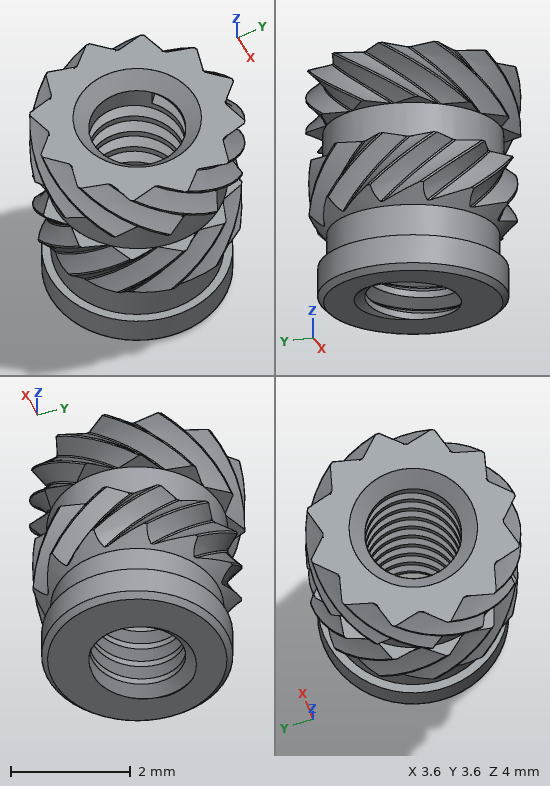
import cadquery as cq
import math

PILOT_TOP = 0.6
LOWER_NECK_TOP = 1.2
LOWER_KNURL_TOP = 2.4
UPPER_NECK_TOP = 3.0
TOTAL_HEIGHT = 4.0

PILOT_DIAMETER = 3.2
PILOT_CHAMFER = 0.1
LOWER_NECK_DIAMETER = 2.9
UPPER_NECK_DIAMETER = 3.03
LOWER_KNURL_DIAMETER = 3.5
UPPER_KNURL_DIAMETER = 3.6

TOOTH_COUNT = 12
KNURL_ROOT_DIAMETER = UPPER_NECK_DIAMETER
KNURL_TWIST = 50.0
CREST_WIDTH = 0.06
ROOT_WIDTH = 0.05

BORE_DIAMETER = 1.62
THREAD_MAJOR_DIAMETER = 2.07
THREAD_PITCH = 0.4
THREAD_FLANK_ANGLE = 30.0
THREAD_ROOT_WIDTH = 0.02
THREAD_START_Z = -0.16
THREAD_TURNS = 9.375
THREAD_OVERLAP = 0.02
COUNTERSINK_DIAMETER = 2.147


def cylinder(diameter, bottom, top):
    """Upright cylinder on the Z axis between two heights."""
    return cq.Workplane("XY", origin=(0, 0, bottom)).circle(diameter / 2).extrude(top - bottom)


def polar_point(radius, angle):
    """XY point at a radius and an angle in radians."""
    return (radius * math.cos(angle), radius * math.sin(angle))


def knurl(tip_diameter, bottom, top, twist):
    """Band of narrow-crested teeth that rotates by `twist` degrees and ends with a tooth on +X."""
    tip_radius = tip_diameter / 2
    root_radius = KNURL_ROOT_DIAMETER / 2
    half_crest = CREST_WIDTH / 2 / tip_radius
    half_root = ROOT_WIDTH / 2 / root_radius
    tooth_step = 2 * math.pi / TOOTH_COUNT
    outline = []
    for tooth in range(TOOTH_COUNT):
        crest_angle = tooth * tooth_step
        root_angle = crest_angle + tooth_step / 2
        outline.append(polar_point(tip_radius, crest_angle - half_crest))
        outline.append(polar_point(tip_radius, crest_angle + half_crest))
        outline.append(polar_point(root_radius, root_angle - half_root))
        outline.append(polar_point(root_radius, root_angle + half_root))
    band = cq.Workplane("XY").polyline(outline).close().twistExtrude(top - bottom, twist)
    return band.rotate((0, 0, 0), (0, 0, 1), -twist).translate((0, 0, bottom))


def pilot():
    """Smooth lead-in collar with a chamfered lower rim."""
    return cylinder(PILOT_DIAMETER, 0, PILOT_TOP).faces("<Z").chamfer(PILOT_CHAMFER)


def lower_knurl():
    """Lower knurl, tapered at 45 degrees down to the neck below it."""
    teeth = knurl(LOWER_KNURL_DIAMETER, LOWER_NECK_TOP, LOWER_KNURL_TOP, KNURL_TWIST)
    taper = (LOWER_KNURL_DIAMETER - LOWER_NECK_DIAMETER) / 2
    envelope = cylinder(LOWER_KNURL_DIAMETER, LOWER_NECK_TOP, LOWER_KNURL_TOP)
    return teeth.intersect(envelope.faces("<Z").chamfer(taper))


def upper_knurl():
    """Upper knurl, twisted the opposite way to the lower one."""
    return knurl(UPPER_KNURL_DIAMETER, UPPER_NECK_TOP, TOTAL_HEIGHT, -KNURL_TWIST)


def countersink():
    """Cone that opens the bore towards the top face."""
    depth = (COUNTERSINK_DIAMETER - BORE_DIAMETER) / 2
    cone = cq.Solid.makeCone(
        BORE_DIAMETER / 2, COUNTERSINK_DIAMETER / 2, depth, cq.Vector(0, 0, TOTAL_HEIGHT - depth)
    )
    return cq.Workplane(obj=cone)


def thread_groove():
    """Right-handed V-groove that runs from the lead-in end up to the countersink."""
    outer_radius = THREAD_MAJOR_DIAMETER / 2
    inner_radius = BORE_DIAMETER / 2 - THREAD_OVERLAP
    half_root = THREAD_ROOT_WIDTH / 2
    flank_rise = (outer_radius - inner_radius) * math.tan(math.radians(THREAD_FLANK_ANGLE))
    half_mouth = half_root + flank_rise
    path = cq.Wire.makeHelix(THREAD_PITCH, THREAD_PITCH * THREAD_TURNS, inner_radius)
    profile = (
        cq.Workplane("XZ")
        .moveTo(inner_radius, -half_mouth)
        .lineTo(outer_radius, -half_root)
        .lineTo(outer_radius, half_root)
        .lineTo(inner_radius, half_mouth)
        .close()
    )
    groove = profile.sweep(cq.Workplane(obj=path), isFrenet=True)
    return groove.translate((0, 0, THREAD_START_Z))


body = (
    pilot()
    .union(cylinder(LOWER_NECK_DIAMETER, PILOT_TOP, LOWER_NECK_TOP))
    .union(lower_knurl())
    .union(cylinder(UPPER_NECK_DIAMETER, LOWER_KNURL_TOP, UPPER_NECK_TOP))
    .union(upper_knurl())
)
bored = body.cut(cylinder(BORE_DIAMETER, 0, TOTAL_HEIGHT)).cut(countersink())
result = bored.cut(thread_groove())